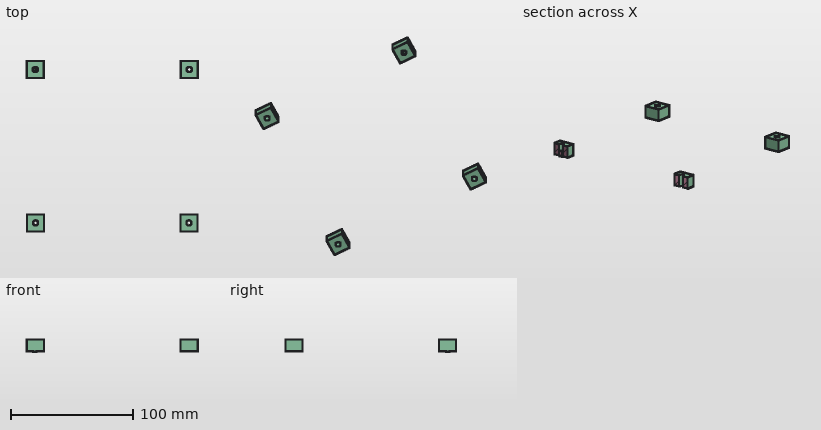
import cadquery as cq

length_x = 140.0
length_y = 139.6

block_side = 14.0
block_height = 10.0
hole_diameter = 4.0

pin_diameter = 3.0
pin_length = 5.0
pin_drop = 0.5
pin_offset_x = -0.48
pin_offset_y = 0.3

pitch_y = length_y - block_side

back_pitch_x = length_x - block_side
front_pitch_x = pitch_y


def make_block(x, y):
    """Square block with a vertical through hole, its base on Z = 0."""
    return (
        cq.Workplane("XY", origin=(x, y, 0))
        .rect(block_side, block_side)
        .circle(hole_diameter / 2)
        .extrude(block_height)
    )


def make_pin(hole_x, hole_y):
    """Pin standing out below its block and ending well below the block's top."""
    return (
        cq.Workplane("XY", origin=(hole_x + pin_offset_x, hole_y + pin_offset_y, -pin_drop))
        .circle(pin_diameter / 2)
        .extrude(pin_length)
    )


blocks = []
for side_y, row_pitch in ((-1, front_pitch_x), (1, back_pitch_x)):
    for side_x in (-1, 1):
        blocks.append(make_block(side_x * row_pitch / 2, side_y * pitch_y / 2))

pin = make_pin(-back_pitch_x / 2, pitch_y / 2)

result = cq.Compound.makeCompound([*[block.val() for block in blocks], pin.val()])